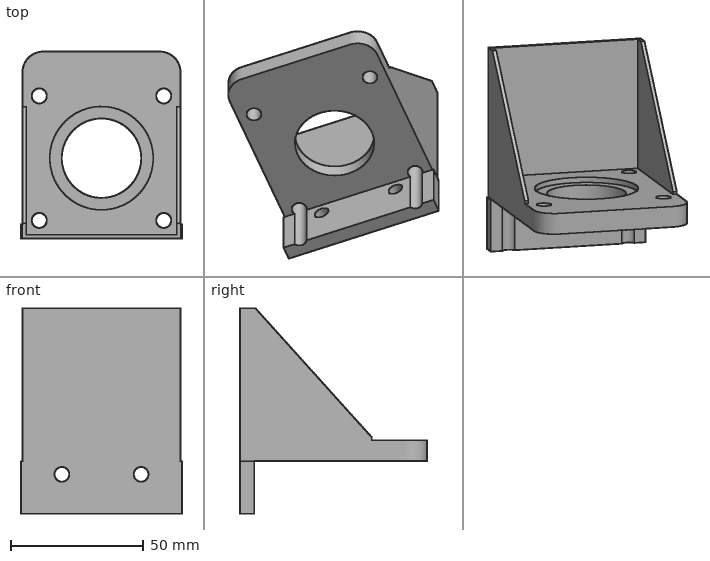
import cadquery as cq

plate_width = 60.0
plate_depth = 70.9
plate_thickness = 8.0
rear_corner_radius = 8.0

bore_y = 30.45
bore_diameter = 30.0
counterbore_diameter = 39.2
counterbore_depth = 2.0
plate_hole_spacing = 47.14
plate_hole_diameter = 5.6

wall_height = 50.0
wall_thickness = 1.5
rib_length = 50
rib_top_length = 5.85
rib_toe_height = 1.0

flange_width = 61.0
flange_height = 20.0
flange_thickness = 5.5
flange_hole_spacing = 30.0
flange_hole_drop = 5.0
flange_hole_diameter = 5.5

wall_top_z = plate_thickness + wall_height


def make_plate():
    plate = cq.Workplane("XY").box(
        plate_width, plate_depth, plate_thickness, centered=(True, False, False)
    )
    return plate.edges("|Z and >Y").fillet(rear_corner_radius)


def make_wall():
    return (
        cq.Workplane("XY", origin=(0, 0, plate_thickness))
        .box(plate_width, wall_thickness, wall_height, centered=(True, False, False))
    )


def make_rib(start_x):
    """Side rib, extruded towards +X from start_x; the profile is in (Y, Z)."""
    profile = [
        (0, plate_thickness),
        (rib_length, plate_thickness),
        (rib_length, plate_thickness + rib_toe_height),
        (rib_top_length, wall_top_z),
        (0, wall_top_z),
    ]
    return (
        cq.Workplane("YZ", origin=(start_x, 0, 0))
        .polyline(profile)
        .close()
        .extrude(wall_thickness)
    )


def make_flange():
    return (
        cq.Workplane("XY", origin=(0, 0, -flange_height))
        .box(flange_width, flange_thickness, flange_height, centered=(True, False, False))
    )


def cut_plate_holes(body):
    plate_top = cq.Workplane("XY", origin=(0, bore_y, plate_thickness))
    bore = plate_top.circle(bore_diameter / 2).extrude(-plate_thickness)
    counterbore = plate_top.circle(counterbore_diameter / 2).extrude(-counterbore_depth)
    screw_holes = (
        plate_top.rect(plate_hole_spacing, plate_hole_spacing, forConstruction=True)
        .vertices()
        .circle(plate_hole_diameter / 2)
        .extrude(-(plate_thickness + flange_height))
    )
    return body.cut(bore).cut(counterbore).cut(screw_holes)


def cut_flange_holes(body):
    holes = (
        cq.Workplane("XZ", origin=(0, 0, -flange_hole_drop))
        .pushPoints([(-flange_hole_spacing / 2, 0), (flange_hole_spacing / 2, 0)])
        .circle(flange_hole_diameter / 2)
        .extrude(-flange_thickness)
    )
    return body.cut(holes)


body = make_plate().union(make_wall()).union(make_flange())
for rib_start_x in (-plate_width / 2, plate_width / 2 - wall_thickness):
    body = body.union(make_rib(rib_start_x))

result = cut_flange_holes(cut_plate_holes(body))